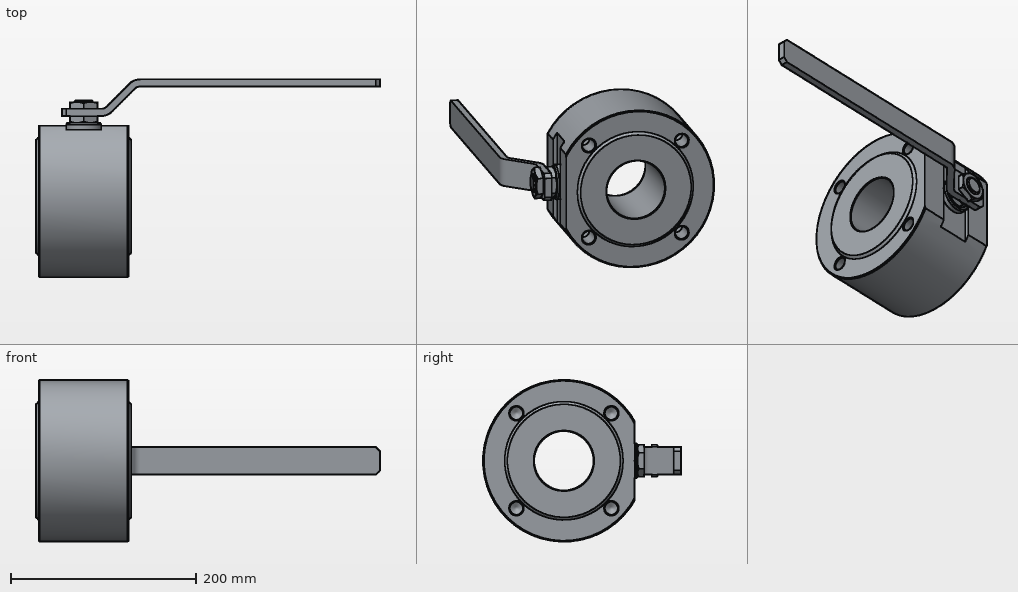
import cadquery as cq
import math

body_diameter = 175.0
body_radius = body_diameter / 2
face_to_face = 103.0
raised_face_height = 3.0
raised_face_diameter = 122.0
raised_face_root_diameter = 128.0
rim_chamfer = 1.2
bore_diameter = 64.0
bore_chamfer = 0.8
top_flat_y = 76.5

bolt_circle_diameter = 145.0
bolt_count = 4
bolt_hole_diameter = 14.0
bolt_hole_chamfer = 1.0
bolt_hole_depth = 30.0
drill_point_angle = 118.0

stem_x = face_to_face / 2
gland_diameter = 38.0
gland_seat_y = 72.0
gland_height = 5.5
gland_bevel_height = 2.0
gland_bevel = 1.2
nut_sides = 6
nut_across_flats = 30.0
nut_thickness = 7.2
nut_chamfer_angle = 30.0
stem_diameter = 20.0
stem_projection = 2.0
stem_chamfer = 1.5

overall_length = 371.5
overall_width = 214.0
lever_top_y = overall_width - body_radius
lever_thickness = 8.0
lever_width = 30.0
lever_start_x = 28.0
lever_crank_rise = 31.8
first_bend_x = 70.6
bend_inner_radius = 8.0
bend_angle = 45.0
lever_corner_chamfer = 4.5

lower_nut_y = gland_seat_y + gland_height + gland_bevel_height
lever_seat_y = lever_top_y - lever_thickness - lever_crank_rise
upper_nut_y = lever_seat_y + lever_thickness
stem_top_y = upper_nut_y + nut_thickness + stem_projection


def revolved_about_flow_axis(profile):
    """Revolve (x, radius) points about the X axis."""
    return cq.Workplane("XY").polyline(profile).close().revolve(360, (0, 0, 0), (1, 0, 0))


def revolved_about_stem(profile):
    """Revolve (radius, y) points about the stem axis."""
    return (
        cq.Workplane("XY")
        .polyline(profile)
        .close()
        .revolve(360, (0, 0, 0), (0, 1, 0))
        .translate((stem_x, 0, 0))
    )


def make_body():
    end_x = face_to_face
    shoulder_x = end_x - raised_face_height
    face_radius = raised_face_diameter / 2
    root_radius = raised_face_root_diameter / 2
    profile = [
        (0, 0),
        (0, face_radius),
        (raised_face_height, root_radius),
        (raised_face_height, body_radius - rim_chamfer),
        (raised_face_height + rim_chamfer, body_radius),
        (shoulder_x - rim_chamfer, body_radius),
        (shoulder_x, body_radius - rim_chamfer),
        (shoulder_x, root_radius),
        (end_x, face_radius),
        (end_x, 0),
    ]
    body = revolved_about_flow_axis(profile)
    above_flat = cq.Workplane("XY").box(
        face_to_face, body_diameter, body_diameter, centered=(False, False, True)
    ).translate((0, top_flat_y, 0))
    gland_slot = cq.Workplane("XY").box(
        gland_diameter, body_diameter, body_diameter, centered=(True, False, True)
    ).translate((stem_x, gland_seat_y, 0))
    return body.cut(above_flat).cut(gland_slot)


def make_bore():
    radius = bore_diameter / 2
    mouth_radius = radius + bore_chamfer
    return revolved_about_flow_axis([
        (0, 0),
        (0, mouth_radius),
        (bore_chamfer, radius),
        (face_to_face - bore_chamfer, radius),
        (face_to_face, mouth_radius),
        (face_to_face, 0),
    ])


def make_bolt_holes():
    radius = bolt_hole_diameter / 2
    point_length = radius / math.tan(math.radians(drill_point_angle / 2))
    mouth_x = raised_face_height
    bottom_x = mouth_x + bolt_hole_depth
    drill = revolved_about_flow_axis([
        (0, 0),
        (0, radius + bolt_hole_chamfer),
        (mouth_x, radius + bolt_hole_chamfer),
        (mouth_x + bolt_hole_chamfer, radius),
        (bottom_x, radius),
        (bottom_x + point_length, 0),
    ]).translate((0, bolt_circle_diameter / 2, 0))
    opposite_drill = drill.mirror("YZ", (face_to_face / 2, 0, 0))
    pitch = 360 / bolt_count
    holes = cq.Workplane("XY")
    for index in range(bolt_count):
        angle = pitch * (index + 0.5)
        for tool in (drill, opposite_drill):
            holes = holes.add(tool.rotate((0, 0, 0), (1, 0, 0), angle))
    return holes.combine()


def make_gland():
    radius = gland_diameter / 2
    rim_y = gland_seat_y + gland_height
    return revolved_about_stem([
        (0, gland_seat_y),
        (radius, gland_seat_y),
        (radius, rim_y),
        (radius - gland_bevel, lower_nut_y),
        (0, lower_nut_y),
    ])


def make_nut(inner_y, outer_y):
    """Hex nut with flats on +-X, seated at inner_y and chamfered at outer_y."""
    corner_radius = nut_across_flats / math.sqrt(3)
    flat_radius = nut_across_flats / 2
    chamfer_drop = (corner_radius - flat_radius) * math.tan(math.radians(nut_chamfer_angle))
    direction = math.copysign(1, outer_y - inner_y)
    height = abs(outer_y - inner_y)
    hexagon = (
        cq.Workplane("XZ", origin=(stem_x, min(inner_y, outer_y), 0))
        .polygon(nut_sides, 2 * corner_radius)
        .extrude(-height)
        .rotate((stem_x, 0, 0), (stem_x, 1, 0), 90)
    )
    envelope = revolved_about_stem([
        (0, inner_y),
        (corner_radius, inner_y),
        (corner_radius, outer_y - direction * chamfer_drop),
        (flat_radius, outer_y),
        (0, outer_y),
    ])
    return hexagon.intersect(envelope)


def make_stem():
    radius = stem_diameter / 2
    return revolved_about_stem([
        (0, gland_seat_y),
        (radius, gland_seat_y),
        (radius, stem_top_y - stem_chamfer),
        (radius - stem_chamfer, stem_top_y),
        (0, stem_top_y),
    ])


def make_lever():
    bend = math.radians(bend_angle)
    centre_radius = bend_inner_radius + lever_thickness / 2
    bend_run = centre_radius * math.sin(bend)
    bend_rise = centre_radius * (1 - math.cos(bend))
    slope_rise = lever_crank_rise - 2 * bend_rise
    slope_run = slope_rise / math.tan(bend)
    start_y = lever_seat_y + lever_thickness / 2
    end_y = lever_top_y - lever_thickness / 2
    slope_start = (first_bend_x + bend_run, start_y + bend_rise)
    slope_end = (slope_start[0] + slope_run, slope_start[1] + slope_rise)
    second_bend_end = (slope_end[0] + bend_run, end_y)
    path = (
        cq.Workplane("XY")
        .moveTo(lever_start_x, start_y)
        .lineTo(first_bend_x, start_y)
        .tangentArcPoint(slope_start, relative=False)
        .lineTo(*slope_end)
        .tangentArcPoint(second_bend_end, relative=False)
        .lineTo(overall_length, end_y)
    )
    bar = (
        cq.Workplane("YZ", origin=(lever_start_x, start_y, 0))
        .rect(lever_thickness, lever_width)
        .sweep(path)
    )
    bar = bar.faces("<X").edges("|Y").chamfer(lever_corner_chamfer)
    return bar.faces(">X").edges("|Y").chamfer(lever_corner_chamfer)


result = (
    make_body()
    .cut(make_bore())
    .cut(make_bolt_holes())
    .union(make_gland())
    .union(make_nut(lever_seat_y, lower_nut_y))
    .union(make_lever())
    .union(make_nut(upper_nut_y, upper_nut_y + nut_thickness))
    .union(make_stem())
)